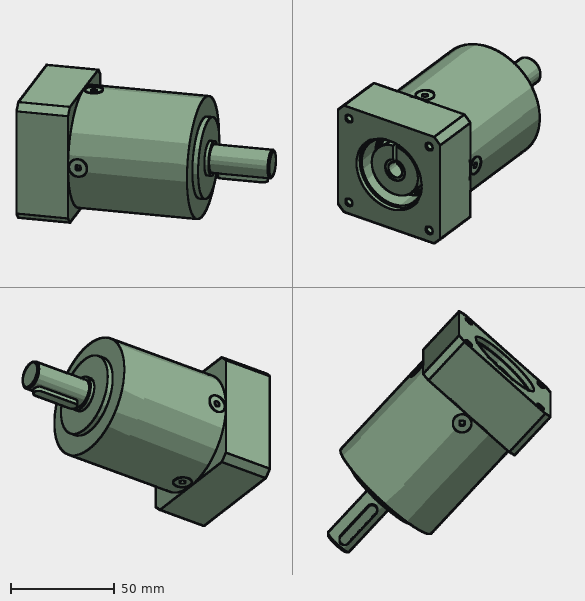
import cadquery as cq

flange_side = 60.0
flange_length = 25.9
flange_corner_diameter = 80.0
bolt_spacing = 47.1
bolt_mouth_diameter = 4.2
bolt_hole_diameter = 3.4
bolt_hole_depth = 14.5

body_diameter = flange_side
body_end = 72.3
cover_end = 85.5
pilot_diameter = 40.0
pilot_length = 2.9
collar_diameter = 17.0
collar_length = 2.0
shaft_diameter = 14.0
shaft_end = 120.5
shaft_chamfer = 0.7
pilot_end = cover_end + pilot_length
collar_end = pilot_end + collar_length

key_width = 5.1
key_length = 25.0
key_gap = 2.5
key_bottom = 9.0

plug_count = 4
plug_diameter = 9.0
plug_gap = 0.4
plug_seat_radius = 29.5
plug_seat_cut = 1.2
plug_socket_diameter = 2.8
plug_socket_depth = 2.4
plug_x = flange_length + plug_diameter / 2 + plug_gap

cavity_bores = [(38.2, 2.8), (35.8, 14.5), (35.0, 16.9), (34.0, 19.3)]
cavity_depth = cavity_bores[-1][1]

hub_diameter = 27.1
hub_face = 5.0
hub_bore_diameter = 8.1
hub_bore_depth = 25.3
hub_mouth_diameter = 11.3
hub_mouth_depth = 0.4
hub_relief_start = 22.9
slot_width = 1.9
slot_step_z = 9.6

screw_setback = 3.4
screw_x = hub_face + screw_setback
screw_z = 9.6
screw_head_diameter = 5.5
screw_head_end = 9.2
screw_head_length = 4.0
screw_head_chamfer = 0.5


def rod(start, end, diameter):
    """Cylinder on the gearbox axis between two X positions."""
    return cq.Workplane("YZ", origin=(start, 0, 0)).circle(diameter / 2).extrude(end - start)


def make_flange():
    square = cq.Workplane("YZ").rect(flange_side, flange_side).extrude(flange_length)
    return square.intersect(rod(0, flange_length, flange_corner_diameter))


def make_output_end():
    pilot = rod(cover_end, pilot_end, pilot_diameter)
    collar = rod(pilot_end, collar_end, collar_diameter)
    shaft = rod(collar_end, shaft_end, shaft_diameter).faces(">X").chamfer(shaft_chamfer)
    return pilot.union(collar).union(shaft).union(make_key())


def make_key():
    center_x = collar_end + key_gap + key_length / 2
    outline = cq.Workplane("XY", origin=(center_x, 0, -key_bottom)).slot2D(key_length, key_width)
    return outline.extrude(key_bottom)


def make_bolt_hole():
    """Blind hole with a countersunk mouth, on the gearbox axis."""
    countersink_depth = (bolt_mouth_diameter - bolt_hole_diameter) / 2
    countersink = cq.Solid.makeCone(
        bolt_mouth_diameter / 2,
        bolt_hole_diameter / 2,
        countersink_depth,
        dir=cq.Vector(1, 0, 0),
    )
    return rod(0, bolt_hole_depth, bolt_hole_diameter).union(cq.Workplane(countersink))


def make_plug_cut():
    """Flat round seat with a central socket, on the +Z side of the housing."""
    seat_plane = cq.Workplane("XY", origin=(plug_x, 0, plug_seat_radius))
    seat = seat_plane.circle(plug_diameter / 2).extrude(plug_seat_cut)
    socket = seat_plane.circle(plug_socket_diameter / 2).extrude(-plug_socket_depth)
    return seat.union(socket)


def make_cavity():
    cavity = rod(0, cavity_depth, cavity_bores[-1][0])
    for diameter, depth in cavity_bores[:-1]:
        cavity = cavity.union(rod(0, depth, diameter))
    return cavity


def make_hub():
    """Clamping hub with the screw head showing at its side."""
    head_center = cq.Workplane("XZ", origin=(screw_x, screw_head_end, screw_z))
    head = head_center.circle(screw_head_diameter / 2).extrude(screw_head_length)
    head = head.faces(">Y").chamfer(screw_head_chamfer)
    return rod(hub_face, cavity_depth, hub_diameter).union(head)


def make_hub_bore():
    """Shaft bore with a shallow counterbore at its mouth and a wider relief at its end."""
    mouth = rod(hub_face, hub_face + hub_mouth_depth, hub_mouth_diameter)
    relief = rod(hub_relief_start, hub_bore_depth, hub_mouth_diameter)
    return rod(hub_face, hub_bore_depth, hub_bore_diameter).union(mouth).union(relief)


def make_slot_cut(end_x, height):
    """Radial slot from the hub axis up to a height, from the hub face to end_x."""
    corner = cq.Workplane("XY", origin=(hub_face, -slot_width / 2, 0))
    return corner.box(end_x - hub_face, slot_width, height, centered=False)


housing = make_flange().union(rod(flange_length, body_end, body_diameter))
for quarter in range(plug_count):
    angle = quarter * 360 / plug_count
    housing = housing.cut(make_plug_cut().rotate((0, 0, 0), (1, 0, 0), angle))
for side_y in (-1, 1):
    for side_z in (-1, 1):
        corner = (0, side_y * bolt_spacing / 2, side_z * bolt_spacing / 2)
        housing = housing.cut(make_bolt_hole().translate(corner))
housing = housing.cut(make_cavity())
housing = housing.union(make_hub()).cut(make_hub_bore())
housing = housing.cut(make_slot_cut(cavity_depth, hub_diameter / 2))
housing = housing.cut(make_slot_cut(hub_relief_start, slot_step_z))

cover = rod(body_end, cover_end, body_diameter)
result = housing.union(cover, clean=False).union(make_output_end(), clean=False)